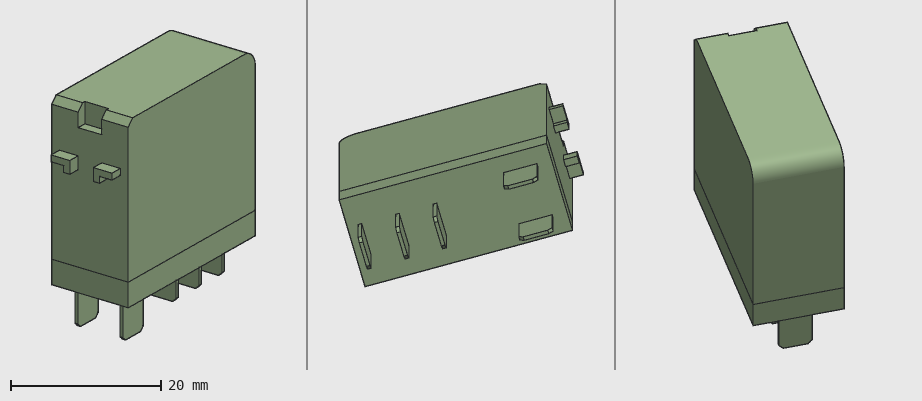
import cadquery as cq

total_height = 33.7
case_width = 12.6
case_depth = 28.7
base_height = 3.75

back_fillet = 2.5
front_chamfer = 1.0
notch_width = 3.88
notch_height = 3.27
notch_depth = 1.5

lug_width = 3.05
lug_height = 2.02
lug_thickness = 1.0
lug_length = 1.9
lug_drop = 7.38

blade_length = 6.3
blade_width = 4.62
blade_thickness = 0.5
blade_chamfer = 0.6
cross_blade_count = 3
cross_blade_pitch = 5.2
cross_blade_inset = 1.75
side_blade_offset = 3.7
side_blade_inset = 4.3

case_height = total_height - blade_length
front_y = -case_depth / 2
back_y = case_depth / 2


def make_base():
    return cq.Workplane("XY").box(case_width, case_depth, base_height, centered=(True, True, False))


def make_lug(side):
    """L-shaped lug; side is +1 or -1, with the stem next to the centre."""
    inner_x = side * notch_width / 2
    stem_x = inner_x + side * lug_thickness
    outer_x = inner_x + side * lug_width
    top_z = case_height - lug_drop
    arm_z = top_z - lug_thickness
    bottom_z = top_z - lug_height
    outline = [
        (inner_x, top_z),
        (outer_x, top_z),
        (outer_x, arm_z),
        (stem_x, arm_z),
        (stem_x, bottom_z),
        (inner_x, bottom_z),
    ]
    return cq.Workplane("XZ", origin=(0, front_y, 0)).polyline(outline).close().extrude(lug_length)


def make_housing():
    housing = (
        cq.Workplane("XY", origin=(0, 0, base_height))
        .box(case_width, case_depth, case_height - base_height, centered=(True, True, False))
    )
    housing = housing.edges(">Y and >Z").fillet(back_fillet)
    housing = housing.edges("<Y and >Z").chamfer(front_chamfer)

    notch = (
        cq.Workplane("XY", origin=(0, front_y, case_height - notch_height))
        .box(notch_width, notch_depth, notch_height, centered=(True, False, False))
    )
    housing = housing.cut(notch)

    for side in (-1, 1):
        housing = housing.union(make_lug(side))
    return housing


def make_blade(x, y, turn):
    """Blade below the base, its width along X before a turn in degrees about its vertical axis."""
    blade = (
        cq.Workplane("XY")
        .box(blade_width, blade_thickness, blade_length, centered=(True, True, False))
        .edges("|Y and <Z")
        .chamfer(blade_chamfer)
    )
    return blade.rotate((0, 0, 0), (0, 0, 1), turn).translate((x, y, -blade_length))


def make_cross_blades():
    blades = []
    for index in range(cross_blade_count):
        y = back_y - cross_blade_inset - index * cross_blade_pitch
        blades.append(make_blade(0, y, 0).val())
    return blades


def make_side_blades():
    blades = []
    for side in (-1, 1):
        blades.append(make_blade(side * side_blade_offset, front_y + side_blade_inset, 90).val())
    return blades


base = make_base()
housing = make_housing()
cross_blades = make_cross_blades()
side_blades = make_side_blades()

result = cq.Compound.makeCompound([base.val(), housing.val(), *cross_blades, *side_blades])